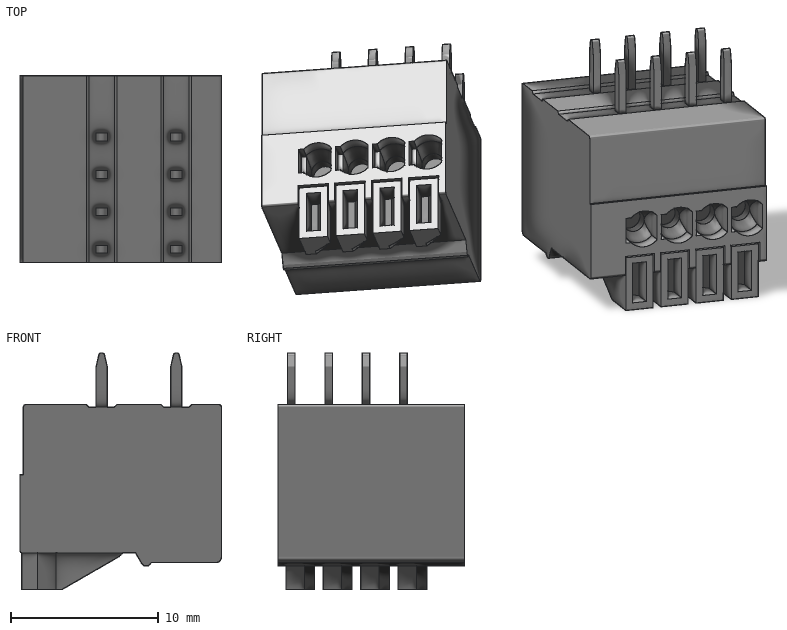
import cadquery as cq
import math

poles = 4
body_right = 13.7
body_width = 12.7
pitch = body_width / (poles + 1)
body_top = 12.59
body_bottom = 2.5
foot_bottom = 1.84
step_x = 0.23
step_z = 7.82
top_edge_radius = 0.2
lower_edge_radius = 0.16
foot_edge_radius = 0.39

row_pitch = 5.07
first_row_x = 5.55
groove_depth = 0.18
groove_top_width = 2.1
groove_floor_width = 1.72

bump_bottom = 1.61
bump_start_x = 7.85
bump_slope_end_x = 8.28
bump_end_x = 8.94
bump_slope_end_z = 1.77
bump_flat_start_x = 8.44
bump_flat_end_x = 8.73

pin_top = 16.1
pin_root_z = body_top - 2 * groove_depth
pin_size_x = 0.77
pin_size_y = 0.53
pin_shoulder_z = 15.15
pin_nose_z = 15.9
pin_nose_width = 0.42
pin_first_y = 0.92

funnel_first_y = 1.24
funnel_z = 5.7
funnel_mouth_radius = 1.27
funnel_bore_radius = 0.75
funnel_flank_width = 1.9
funnel_mouth_depth = 1.08
funnel_taper_end_x = 2.05
funnel_bore_end_x = 2.9
notch_width = 0.34
notch_mouth_height = 1.75
notch_floor_height = 1.53

lever_first_y = 1.53
lever_front_x = 0.11
lever_head_end_x = 1.19
lever_width = 1.96
lever_top = 3.75
lever_web_width = 0.71
lever_taper = lever_width - lever_web_width
lever_tail_start_x = 2.85
lever_tail_end_x = 6.99
lever_tail_end_z = 2.25
lever_tail_angle = 30
lever_tail_slope_end_x = lever_tail_start_x + lever_tail_end_z / math.tan(math.radians(lever_tail_angle))
recess_clearance = 0.06
recess_top = 3.88
recess_taper = lever_taper + 2 * recess_clearance
lever_ramp_end_x = lever_head_end_x + (recess_top - lever_top) / math.tan(math.radians(lever_tail_angle))
window_width = 0.98
window_bottom = 0.5
window_top = 3.32
window_floor_width = 0.47
window_taper = window_width - window_floor_width
window_floor_x = 2.06


def make_body():
    """Side outline of the housing, carried across the full width."""
    outline = (
        cq.Workplane("XZ")
        .moveTo(0, body_bottom)
        .lineTo(0, step_z)
        .lineTo(step_x, step_z)
        .lineTo(step_x, body_top)
        .lineTo(body_right, body_top)
        .lineTo(body_right, foot_bottom)
        .lineTo(bump_end_x, foot_bottom)
        .lineTo(bump_flat_end_x, bump_bottom)
        .lineTo(bump_flat_start_x, bump_bottom)
        .lineTo(bump_slope_end_x, bump_slope_end_z)
        .lineTo(bump_start_x, body_bottom)
        .close()
    )
    body = outline.extrude(-body_width)
    body = body.edges("|Y").edges(">Z").fillet(top_edge_radius)
    body = body.edges(cq.selectors.NearestToPointSelector((0, body_width / 2, body_bottom)))
    body = body.fillet(lower_edge_radius)
    body = body.edges(cq.selectors.NearestToPointSelector((body_right, body_width / 2, foot_bottom)))
    return body.fillet(foot_edge_radius)


def make_groove(center_x):
    half_top = groove_top_width / 2
    half_floor = groove_floor_width / 2
    floor_z = body_top - groove_depth
    corners = [
        (center_x - half_top, body_top),
        (center_x - half_floor, floor_z),
        (center_x + half_floor, floor_z),
        (center_x + half_top, body_top),
    ]
    return cq.Workplane("XZ").polyline(corners).close().extrude(-body_width)


def make_pin(center_x, center_y):
    """Flat pin with a tapered, rounded tip."""
    half = pin_size_x / 2
    half_nose = pin_nose_width / 2
    return (
        cq.Workplane("XZ", origin=(center_x, center_y + pin_size_y / 2, 0))
        .moveTo(-half, pin_root_z)
        .lineTo(-half, pin_shoulder_z)
        .lineTo(-half_nose, pin_nose_z)
        .threePointArc((0, pin_top), (half_nose, pin_nose_z))
        .lineTo(half, pin_shoulder_z)
        .lineTo(half, pin_root_z)
        .close()
        .extrude(pin_size_y)
    )


def make_funnel(center_y):
    """Flat-flanked round mouth with a notch on its +Y side, narrowing by a taper to a round bore."""
    plane = cq.Workplane("XY", origin=(0, center_y, funnel_z))
    half_flank = funnel_flank_width / 2
    round_shape = (
        plane
        .polyline([
            (0, 0),
            (0, funnel_mouth_radius),
            (funnel_mouth_depth, funnel_mouth_radius),
            (funnel_taper_end_x, funnel_bore_radius),
            (funnel_bore_end_x, funnel_bore_radius),
            (funnel_bore_end_x, 0),
        ])
        .close()
        .revolve(360, (0, 0, 0), (1, 0, 0))
    )
    flanks = (
        plane
        .polyline([
            (0, -half_flank),
            (funnel_mouth_depth, -half_flank),
            (funnel_taper_end_x, -funnel_bore_radius),
            (funnel_bore_end_x, -funnel_bore_radius),
            (funnel_bore_end_x, funnel_bore_radius),
            (funnel_taper_end_x, funnel_bore_radius),
            (funnel_mouth_depth, half_flank),
            (0, half_flank),
        ])
        .close()
        .extrude(funnel_mouth_radius, both=True)
    )
    notch = (
        cq.Workplane("XZ", origin=(0, center_y + half_flank, funnel_z))
        .polyline([
            (0, -notch_mouth_height / 2),
            (funnel_mouth_depth, -notch_floor_height / 2),
            (funnel_mouth_depth, notch_floor_height / 2),
            (0, notch_mouth_height / 2),
        ])
        .close()
        .extrude(-notch_width)
    )
    return round_shape.intersect(flanks).union(notch)


def tapered_prism(front_x, shoulder_x, taper, low_y, high_y, low_z, high_z):
    """Upright prism whose -Y side runs straight, then slants to the +Y side at 45 degrees."""
    end_x = shoulder_x + taper
    corners = [
        (front_x, low_y),
        (shoulder_x, low_y),
        (end_x, low_y + taper),
        (end_x, high_y),
        (front_x, high_y),
    ]
    return cq.Workplane("XY").workplane(offset=low_z).polyline(corners).close().extrude(high_z - low_z)


def make_recess(center_y):
    half = lever_width / 2 + recess_clearance
    return tapered_prism(
        0, lever_head_end_x, recess_taper, center_y - half, center_y + half, 0, recess_top
    )


def make_lever(center_y):
    """Lever head with a blind window, and a thin web running back under the housing."""
    low_y = center_y - lever_width / 2
    high_y = center_y + lever_width / 2
    head = tapered_prism(
        lever_front_x, lever_head_end_x, lever_taper, low_y, high_y, 0, lever_top
    )
    web = (
        cq.Workplane("XZ", origin=(0, high_y, 0))
        .moveTo(lever_head_end_x, 0)
        .lineTo(lever_tail_start_x, 0)
        .lineTo(lever_tail_slope_end_x, lever_tail_end_z)
        .lineTo(lever_tail_end_x, body_bottom)
        .lineTo(lever_tail_end_x, recess_top)
        .lineTo(lever_ramp_end_x, recess_top)
        .lineTo(lever_head_end_x, lever_top)
        .close()
        .extrude(lever_web_width)
    )
    window = tapered_prism(
        lever_front_x,
        window_floor_x - window_taper,
        window_taper,
        center_y - window_width / 2,
        center_y + window_width / 2,
        window_bottom,
        window_top,
    )
    return head.union(web).cut(window)


result = make_body()
row_positions = [first_row_x, first_row_x + row_pitch]

for row_x in row_positions:
    result = result.cut(make_groove(row_x))

for pole in range(poles):
    offset = pole * pitch
    result = result.cut(make_funnel(funnel_first_y + offset))
    result = result.cut(make_recess(lever_first_y + offset))
    result = result.union(make_lever(lever_first_y + offset))
    for row_x in row_positions:
        result = result.union(make_pin(row_x, pin_first_y + offset))